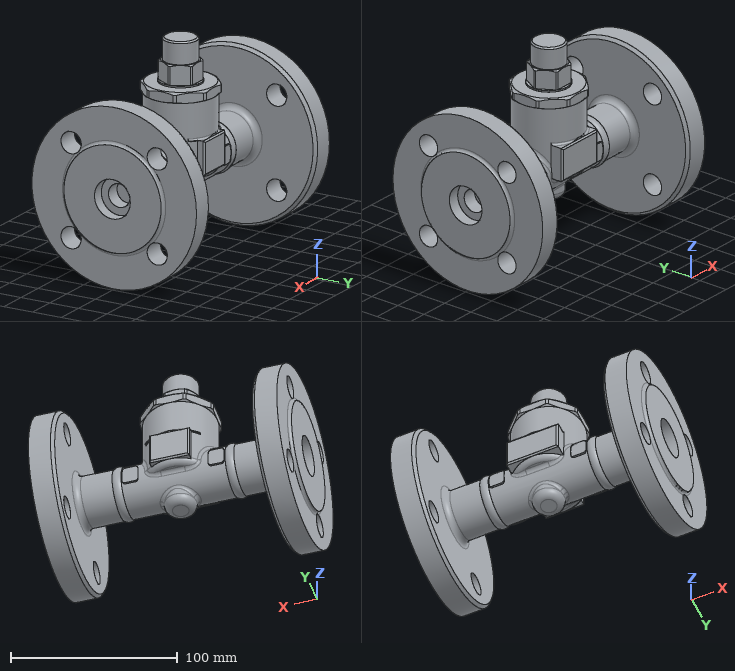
import cadquery as cq
import math

LENGTH = 160.0
PIPE_DIA = 32.0
FLANGE_DIA = 115.0
FLANGE_THICKNESS = 18.0
FLANGE_CHAMFER = 2.0
RAISED_FACE_DIA = 68.0
RAISED_FACE_HEIGHT = 2.0
HUB_FILLET = 4.0
BOLT_CIRCLE_DIA = 85.0
BOLT_HOLE_DIA = 14.0
BOLT_HOLE_COUNT = 4
SOCKET_DIA = 25.0
SOCKET_DEPTH = 8.0
BORE_DIA = 15.0
BORE_DEPTH = 30.0

BEAD_CENTRE_X = 35.4
BEAD_WIDTH = 5.6
BEAD_HEIGHT = 1.0

BODY_DIA = 46.0
BODY_BOTTOM_Z = -4.0
BODY_BOTTOM_ROUND = 3.8
CAP_BOTTOM_Z = 45.2
CAP_TOP_Z = 52.0
BODY_PIPE_FILLET = 3.0

CAP_SIDES = 8
CAP_CORNER_DIA = 49.0
CAP_TOP_DIA = 44.6
CHAMFER_ANGLE = 30.0

WASHER_DIA = 27.8
WASHER_HEIGHT = 1.0
HEX_SIDES = 6
HEX_ACROSS_FLATS = 24.0
HEX_CORNER_DIA = 27.0
HEX_TOP_Z = 65.6
HEAD_DIA = 22.0
HEAD_TOP_Z = 80.0
HEAD_CHAMFER = 1.0

PLATE_FACE_Y = 24.0
PLATE_TOP_Z = 21.2
PLATE_BOTTOM_Z = -0.9
FRONT_PLATE_WIDTH = 34.2
BACK_PLATE_WIDTH = 25.0
PLATE_CHAMFER = 1.0
PLATE_FILLET = 1.3

PAD_INNER_X = 22.0
PAD_LENGTH = 10.0
PAD_HEIGHT = 11.8
PAD_CORNER_RADIUS = 2.0

BOSS_DIA = 20.0
BOSS_BOTTOM_Z = -23.0
BOSS_ROUND = 5.0
BOSS_FILLET = 2.5

HALF_LENGTH = LENGTH / 2
PIPE_RADIUS = PIPE_DIA / 2
BODY_RADIUS = BODY_DIA / 2
FLANGE_BACK_X = HALF_LENGTH - FLANGE_THICKNESS


def upright_cylinder(diameter, bottom_z, top_z):
    return cq.Workplane("XY").workplane(offset=bottom_z).circle(diameter / 2).extrude(top_z - bottom_z)


def make_pipe():
    return cq.Workplane("YZ").circle(PIPE_RADIUS).extrude(FLANGE_BACK_X, both=True)


def make_flange():
    """Flange at the +X end with raised face and filleted hub, revolved about X."""
    flange_radius = FLANGE_DIA / 2
    face_radius = RAISED_FACE_DIA / 2
    face_foot_x = HALF_LENGTH - RAISED_FACE_HEIGHT
    diagonal = 1 - math.sqrt(0.5)
    return (
        cq.Workplane("XY")
        .moveTo(FLANGE_BACK_X - HUB_FILLET, 0)
        .lineTo(FLANGE_BACK_X - HUB_FILLET, PIPE_RADIUS)
        .threePointArc(
            (FLANGE_BACK_X - HUB_FILLET * diagonal, PIPE_RADIUS + HUB_FILLET * diagonal),
            (FLANGE_BACK_X, PIPE_RADIUS + HUB_FILLET),
        )
        .lineTo(FLANGE_BACK_X, flange_radius - FLANGE_CHAMFER)
        .lineTo(FLANGE_BACK_X + FLANGE_CHAMFER, flange_radius)
        .lineTo(face_foot_x, flange_radius)
        .lineTo(face_foot_x, face_radius + RAISED_FACE_HEIGHT)
        .threePointArc(
            (face_foot_x + RAISED_FACE_HEIGHT * diagonal, face_radius + RAISED_FACE_HEIGHT * diagonal),
            (HALF_LENGTH, face_radius),
        )
        .lineTo(HALF_LENGTH, 0)
        .close()
        .revolve(360, (0, 0, 0), (1, 0, 0))
    )


def make_flange_holes():
    """Bolt holes and stepped bore of the +X flange."""
    face = cq.Workplane("YZ").workplane(offset=HALF_LENGTH)
    bolts = face.polarArray(BOLT_CIRCLE_DIA / 2, 45, 360, BOLT_HOLE_COUNT)
    holes = bolts.circle(BOLT_HOLE_DIA / 2).extrude(-FLANGE_THICKNESS)
    socket = face.circle(SOCKET_DIA / 2).extrude(-SOCKET_DEPTH)
    bore = face.circle(BORE_DIA / 2).extrude(-BORE_DEPTH)
    return holes.union(socket).union(bore)


def make_bead():
    half_width = BEAD_WIDTH / 2
    return (
        cq.Workplane("XY")
        .moveTo(BEAD_CENTRE_X - half_width, 0)
        .lineTo(BEAD_CENTRE_X - half_width, PIPE_RADIUS)
        .threePointArc(
            (BEAD_CENTRE_X, PIPE_RADIUS + BEAD_HEIGHT),
            (BEAD_CENTRE_X + half_width, PIPE_RADIUS),
        )
        .lineTo(BEAD_CENTRE_X + half_width, 0)
        .close()
        .revolve(360, (0, 0, 0), (1, 0, 0))
    )


def make_pad():
    """Pad on the +X, -Y quarter of the pipe, ending flush with the pipe's side."""
    return (
        cq.Workplane("XY")
        .box(PAD_LENGTH, PIPE_RADIUS, PAD_HEIGHT)
        .edges("|Y")
        .fillet(PAD_CORNER_RADIUS)
        .translate((PAD_INNER_X + PAD_LENGTH / 2, -PIPE_RADIUS / 2, 0))
    )


def make_plate(width):
    """Chamfered plate standing out of the body on its -Y side, its top filleted to the body."""
    plate = (
        cq.Workplane("XY")
        .box(width, PLATE_FACE_Y, PLATE_TOP_Z - PLATE_BOTTOM_Z)
        .faces("<Y")
        .chamfer(PLATE_CHAMFER)
        .translate((0, -PLATE_FACE_Y / 2, (PLATE_TOP_Z + PLATE_BOTTOM_Z) / 2))
    )
    arc_offset = PLATE_FILLET * (1 - math.sqrt(0.5))
    fillet_ring = (
        cq.Workplane("XZ")
        .moveTo(0, PLATE_TOP_Z)
        .lineTo(BODY_RADIUS + PLATE_FILLET, PLATE_TOP_Z)
        .threePointArc(
            (BODY_RADIUS + arc_offset, PLATE_TOP_Z + arc_offset),
            (BODY_RADIUS, PLATE_TOP_Z + PLATE_FILLET),
        )
        .lineTo(0, PLATE_TOP_Z + PLATE_FILLET)
        .close()
        .revolve(360, (0, 0, 0), (0, 1, 0))
    )
    flat_depth = PLATE_FACE_Y - PLATE_CHAMFER
    above_plate = (
        cq.Workplane("XY")
        .workplane(offset=PLATE_TOP_Z)
        .rect(width, 2 * flat_depth)
        .extrude(PLATE_FILLET)
    )
    return plate.union(fillet_ring.intersect(above_plate))


def make_boss():
    return upright_cylinder(BOSS_DIA, BOSS_BOTTOM_Z, 0).faces("<Z").edges().fillet(BOSS_ROUND)


def chamfered_disc(outer_dia, face_dia, bottom_z, top_z, end):
    """Upright disc whose selected end narrows to face_dia with a conical chamfer."""
    inset = (outer_dia - face_dia) / 2
    drop = inset * math.tan(math.radians(CHAMFER_ANGLE))
    return upright_cylinder(outer_dia, bottom_z, top_z).faces(end).chamfer(drop, inset)


def make_chamfered_nut(sides, across_flats, corner_dia, top_dia, bottom_z, top_z):
    """Polygonal nut with a flat facing -Y, turned corners and a conical top chamfer."""
    prism = (
        cq.Workplane("XY")
        .workplane(offset=bottom_z)
        .polygon(sides, across_flats, circumscribed=True)
        .extrude(top_z - bottom_z)
    )
    prism = prism.rotate((0, 0, 0), (0, 0, 1), 90)
    return prism.intersect(chamfered_disc(corner_dia, top_dia, bottom_z, top_z, ">Z"))


def make_body():
    """Pipe, round-bottomed body cylinder and boss with the fillets that blend them."""
    run = make_pipe().union(make_boss()).edges("%BSPLINE").fillet(BOSS_FILLET)
    cylinder = upright_cylinder(BODY_DIA, BODY_BOTTOM_Z, CAP_BOTTOM_Z)
    cylinder = cylinder.faces("<Z").edges().fillet(BODY_BOTTOM_ROUND)
    around_joint = cq.selectors.BoxSelector(
        (-BODY_DIA, -BODY_DIA, BODY_BOTTOM_Z - 1),
        (BODY_DIA, BODY_DIA, PIPE_DIA),
    )
    return run.union(cylinder).edges("%BSPLINE").edges(around_joint).fillet(BODY_PIPE_FILLET)


def make_top_works():
    """Octagonal cap, washer, hexagon and cylindrical head stacked on the body."""
    cap = make_chamfered_nut(CAP_SIDES, BODY_DIA, CAP_CORNER_DIA, CAP_TOP_DIA, CAP_BOTTOM_Z, CAP_TOP_Z)
    cap_underside = chamfered_disc(CAP_CORNER_DIA, BODY_DIA, CAP_BOTTOM_Z, CAP_TOP_Z, "<Z")
    cap = cap.intersect(cap_underside)
    washer = upright_cylinder(WASHER_DIA, CAP_TOP_Z, CAP_TOP_Z + WASHER_HEIGHT)
    hexagon = make_chamfered_nut(
        HEX_SIDES, HEX_ACROSS_FLATS, HEX_CORNER_DIA, HEX_ACROSS_FLATS, CAP_TOP_Z, HEX_TOP_Z
    )
    head = upright_cylinder(HEAD_DIA, HEX_TOP_Z, HEAD_TOP_Z).faces(">Z").chamfer(HEAD_CHAMFER)
    return cap.union(washer).union(hexagon).union(head)


result = make_body().union(make_top_works())
result = result.union(make_plate(FRONT_PLATE_WIDTH))
result = result.union(make_plate(BACK_PLATE_WIDTH).rotate((0, 0, 0), (0, 0, 1), 180))

flange = make_flange().cut(make_flange_holes())
run_end = flange.union(make_bead()).union(make_pad()).union(make_pad().mirror("XZ"))
for end in (run_end, run_end.mirror("YZ")):
    result = result.union(end)